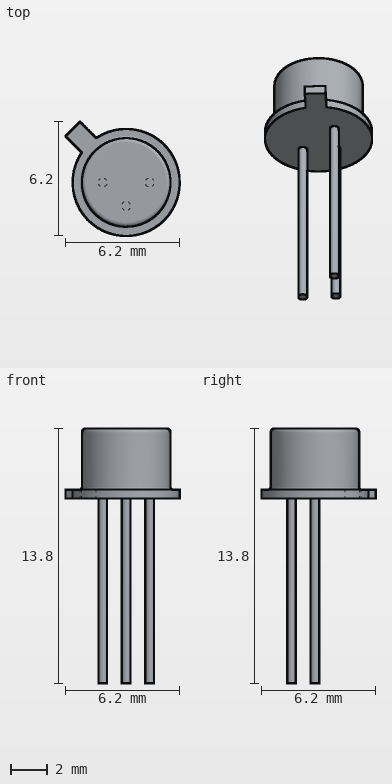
import cadquery as cq

total_height = 13.8
lead_length = 9.99
lead_diameter = 0.48
lead_offset = 1.27
flange_diameter = 5.81
flange_thickness = 0.5
can_diameter = 4.8
top_fillet = 0.23
foot_fillet = 0.11
tab_width = 1.12
tab_reach = 4.1
tab_angle = 135.0

can_top = total_height - lead_length
can_radius = can_diameter / 2


def make_header():
    """Round flange with the index tab."""
    flange = cq.Workplane("XY").circle(flange_diameter / 2).extrude(flange_thickness)
    tab = (
        cq.Workplane("XY")
        .rect(tab_reach, tab_width)
        .extrude(flange_thickness)
        .translate((tab_reach / 2, 0, 0))
        .rotate((0, 0, 0), (0, 0, 1), tab_angle)
    )
    return flange.union(tab)


def make_can():
    """Can revolved about Z, with a rounded top rim and a flared foot."""
    foot_top = flange_thickness + foot_fillet
    return (
        cq.Workplane("XZ")
        .lineTo(0, can_top)
        .lineTo(can_radius - top_fillet, can_top)
        .tangentArcPoint((can_radius, can_top - top_fillet), relative=False)
        .lineTo(can_radius, foot_top)
        .tangentArcPoint((can_radius + foot_fillet, flange_thickness), relative=False)
        .lineTo(can_radius, flange_thickness)
        .lineTo(can_radius, 0)
        .close()
        .revolve(360, (0, 0, 0), (0, 1, 0))
    )


def make_leads():
    """Three straight leads hanging below the flange."""
    lead_centers = [(-lead_offset, 0), (0, -lead_offset), (lead_offset, 0)]
    return (
        cq.Workplane("XY")
        .pushPoints(lead_centers)
        .circle(lead_diameter / 2)
        .extrude(-lead_length)
    )


result = make_header().union(make_can()).union(make_leads())